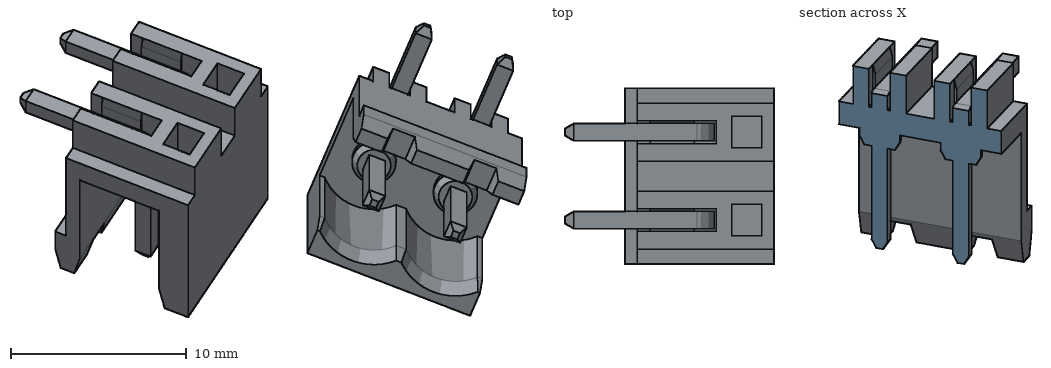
import cadquery as cq
import math


pitch = 5.0
contact_count = 2
body_width = contact_count * pitch
contact_positions = [(i - (contact_count - 1) / 2) * pitch for i in range(contact_count)]

total_height = 12.2
deck_top = 9.8
deck_bottom = 8.32
back_face = 3.9
front_face = -3.89
bore_radius = 3.0
back_wall_inner = 2.05
front_wall_inner = -bore_radius
hook_depth = 0.7
hook_top = 3.01
lead_in_height = 1.5
lead_in_depth = 0.35

notch_height = 1.21
notch_top_width = 1.34
notch_bottom_width = 1.8

rib_width = 3.3
slot_width = 1.29
slot_end = 0.62
pocket_length = 1.7
pocket_width = 1.79
pocket_end_margin = 0.71
grip_start = -3.15
grip_end = -0.65
grip_taper_height = 0.59

pin_size = 1.0
pin_half = pin_size / 2
pin_tip_size = 0.4
pin_tip_length = 0.51
pin_front_end = -7.99
pin_bottom_end = 0.92

boss_diameter = 2.5
boss_height = 0.99
boss_taper_height = 0.52
boss_end_diameter = 1.9


def box(x_range, y_center, width, z_range):
    """Box between two X and two Z limits, centred on y_center."""
    length = x_range[1] - x_range[0]
    height = z_range[1] - z_range[0]
    return (
        cq.Workplane("XY", origin=(x_range[0], y_center, z_range[0]))
        .box(length, width, height, centered=(False, True, False))
    )


def shroud():
    """Deck and walls, extruded along the row."""
    hook_face = front_face - hook_depth
    outline = [
        (front_face, deck_top),
        (back_face, deck_top),
        (back_face, 0),
        (back_wall_inner + lead_in_depth, 0),
        (back_wall_inner, lead_in_height),
        (back_wall_inner, deck_bottom),
        (front_wall_inner, deck_bottom),
        (front_wall_inner, lead_in_height),
        (front_wall_inner - lead_in_depth, 0),
        (hook_face + lead_in_depth, 0),
        (hook_face, lead_in_height),
        (hook_face, hook_top),
        (front_face, hook_top),
    ]
    return cq.Workplane("XZ").polyline(outline).close().extrude(body_width / 2, both=True)


def bore(y):
    """Half-round recess with a flared mouth, cut into the back wall around a pin."""
    half_section = [
        (0, 0),
        (0, bore_radius + lead_in_depth),
        (lead_in_height, bore_radius),
        (deck_bottom, bore_radius),
        (deck_bottom, 0),
    ]
    section_plane = cq.Plane(origin=(0, y, 0), xDir=(0, 0, 1), normal=(1, 0, 0))
    return (
        cq.Workplane(section_plane)
        .polyline(half_section).close()
        .revolve(180, (0, 0), (1, 0))
    )


def foot_notch(y):
    """Notch through the foot of the front wall, wider at the bottom."""
    outline = [
        (y - notch_bottom_width / 2, 0),
        (y - notch_top_width / 2, notch_height),
        (y + notch_top_width / 2, notch_height),
        (y + notch_bottom_width / 2, 0),
    ]
    cut_start = front_face - hook_depth
    cut_length = front_wall_inner - cut_start
    return cq.Workplane("YZ", origin=(cut_start, 0, 0)).polyline(outline).close().extrude(cut_length)


def grip(y, side):
    """Raised pad on one slot wall that holds the pin, tapered at the top."""
    wall = side * slot_width / 2
    outline = [
        (y + wall, total_height),
        (y + side * pin_half, total_height - grip_taper_height),
        (y + side * pin_half, deck_top),
        (y + wall, deck_top),
    ]
    return (
        cq.Workplane("YZ", origin=(grip_start, 0, 0))
        .polyline(outline).close()
        .extrude(grip_end - grip_start)
    )


def rib(y):
    """Raised rib with a pin slot open to the front and a square pocket at the back."""
    rib_levels = (deck_top, total_height)
    pocket_end = back_face - pocket_end_margin
    block = box((front_face, back_face), y, rib_width, rib_levels)
    slot = box((front_face, slot_end), y, slot_width, rib_levels)
    pocket = box((pocket_end - pocket_length, pocket_end), y, pocket_width, rib_levels)
    return block.cut(slot).cut(pocket).union(grip(y, -1)).union(grip(y, 1))


def pin_tip(plane):
    """Square pyramid-shaped point, growing along the normal of the plane."""
    return (
        cq.Workplane(plane)
        .rect(pin_size, pin_size)
        .workplane(offset=pin_tip_length)
        .rect(pin_tip_size, pin_tip_size)
        .loft(ruled=True)
    )


def pin(y):
    """Square pin bent through a right angle, with a point at each end."""
    front_shoulder = pin_front_end + pin_tip_length
    bottom_shoulder = pin_bottom_end + pin_tip_length
    front_center = (front_shoulder, y, deck_top + pin_half)
    bottom_center = (0, y, bottom_shoulder)
    bend_reach = pin_size * math.sin(math.radians(45))
    bend_middle = (-pin_half + bend_reach, deck_top + bend_reach)
    legs = (
        cq.Workplane("XZ", origin=(0, y, 0))
        .moveTo(front_shoulder, deck_top)
        .lineTo(front_shoulder, deck_top + pin_size)
        .lineTo(-pin_half, deck_top + pin_size)
        .threePointArc(bend_middle, (pin_half, deck_top))
        .lineTo(pin_half, bottom_shoulder)
        .lineTo(-pin_half, bottom_shoulder)
        .lineTo(-pin_half, deck_top)
        .close()
        .extrude(pin_half, both=True)
    )
    front_tip = pin_tip(cq.Plane(origin=front_center, xDir=(0, 1, 0), normal=(-1, 0, 0)))
    bottom_tip = pin_tip(cq.Plane(origin=bottom_center, xDir=(1, 0, 0), normal=(0, 0, -1)))
    return legs.union(front_tip).union(bottom_tip)


def boss(y):
    """Round boss under the deck around the pin, tapered at its lower end."""
    boss_bottom = deck_bottom - boss_height
    half_section = [
        (0, deck_bottom),
        (boss_diameter / 2, deck_bottom),
        (boss_diameter / 2, boss_bottom + boss_taper_height),
        (boss_end_diameter / 2, boss_bottom),
        (0, boss_bottom),
    ]
    return (
        cq.Workplane("XZ", origin=(0, y, 0))
        .polyline(half_section).close()
        .revolve(360, (0, 0), (0, 1))
    )


result = shroud()
for y in contact_positions:
    result = result.cut(bore(y)).cut(foot_notch(y))
for y in contact_positions:
    result = result.union(rib(y)).union(boss(y)).union(pin(y))